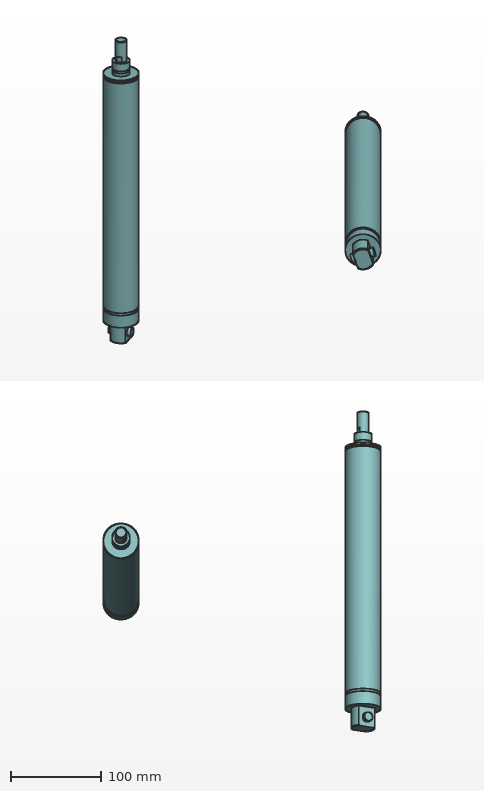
import cadquery as cq

total_height = 365.5
body_bottom = 23.0
body_top = 325.0
nose_top = 340.3

body_diameter = 39.5
nose_diameter = 19.7
groove_depth = 0.5
rear_groove_bottom = 37.5
front_groove_bottom = 321.0
front_groove_width = 2.0
rear_groove_width = 3.0
nose_groove_bottom = 328.5
nose_groove_width = 2.5

tang_diameter = 26.3
tang_thickness = 17.5
tang_chamfer = 1.0

pin_diameter = 10.2
pin_length = 26.3
pin_height = 10.5

rod_diameter = 12.8
rod_chamfer = 0.7
rod_socket_depth = 15.5
flat_spacing = 11.5
flat_top = 347.0


def cylinder(diameter, bottom, top):
    """Round solid on the Z axis between two heights."""
    return cq.Workplane("XY").workplane(offset=bottom).circle(diameter / 2).extrude(top - bottom)


def ring_groove(diameter, bottom, width):
    """Ring that cuts a shallow groove around a round surface."""
    top = bottom + width
    return cylinder(diameter, bottom, top).cut(cylinder(diameter - 2 * groove_depth, bottom, top))


def cross_pin():
    """Pin along X, centred on the tang."""
    return (
        cq.Workplane("YZ")
        .center(0, pin_height)
        .circle(pin_diameter / 2)
        .extrude(pin_length / 2, both=True)
    )


def piston_rod():
    """Round rod with a chamfered tip and two wrench flats above the nose."""
    rod = cylinder(rod_diameter, nose_top - rod_socket_depth, total_height)
    rod = rod.faces(">Z").chamfer(rod_chamfer)
    flat_height = flat_top - nose_top
    flat_zone = cylinder(rod_diameter, nose_top, flat_top)
    flat_core = (
        cq.Workplane("XY")
        .workplane(offset=nose_top)
        .rect(rod_diameter, flat_spacing)
        .extrude(flat_height)
    )
    return rod.cut(flat_zone.cut(flat_core))


def mounting_tang():
    """Round stub cut to two parallel flats, with a chamfered lower end."""
    stub = cylinder(tang_diameter, 0, body_bottom).faces("<Z").chamfer(tang_chamfer)
    slab = (
        cq.Workplane("XY")
        .rect(tang_thickness, tang_diameter)
        .extrude(body_bottom)
    )
    return stub.intersect(slab)


def cylinder_body():
    """Barrel with its caps, nose and tang, bored for the rod and the pin."""
    body = cylinder(body_diameter, body_bottom, body_top)
    body = body.union(cylinder(nose_diameter, body_top, nose_top))
    body = body.union(mounting_tang())
    body = body.cut(ring_groove(body_diameter, rear_groove_bottom, rear_groove_width))
    body = body.cut(ring_groove(body_diameter, front_groove_bottom, front_groove_width))
    body = body.cut(ring_groove(nose_diameter, nose_groove_bottom, nose_groove_width))
    body = body.cut(cylinder(rod_diameter, nose_top - rod_socket_depth, nose_top))
    return body.cut(cross_pin())


housing = cylinder_body()
rod = piston_rod()
pin = cross_pin()

result = cq.Compound.makeCompound([housing.val(), rod.val(), pin.val()])